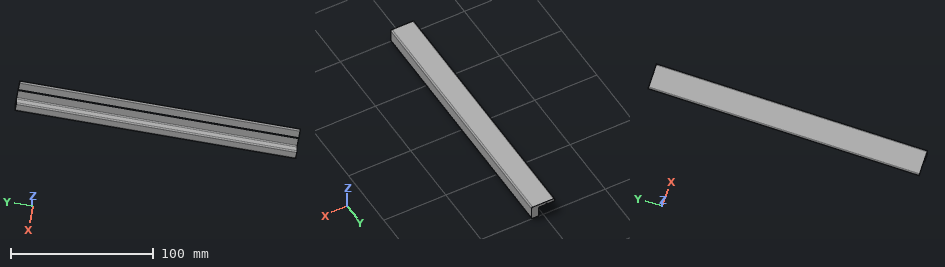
import cadquery as cq

length = 200.0
width = 18.8
height = 11.5
flange_thickness = 2.8
leg_thickness = 6.0
outer_radius = 1.0
inner_radius = 0.8

groove_center = 6.5
groove_width = 0.5
groove_depth = 0.5

leg_left = width - leg_thickness
flange_bottom = height - flange_thickness


def make_bar():
    """L-section extruded along Y, with all long edges rounded."""
    bar = (
        cq.Workplane("XZ")
        .moveTo(0, height)
        .lineTo(width, height)
        .lineTo(width, 0)
        .lineTo(leg_left, 0)
        .lineTo(leg_left, flange_bottom)
        .lineTo(0, flange_bottom)
        .close()
        .extrude(length / 2, both=True)
    )
    inner_corner = cq.selectors.NearestToPointSelector((leg_left, 0, flange_bottom))
    bar = bar.edges(inner_corner).fillet(inner_radius)
    outer_edges = bar.edges("|Y").edges("<X or >X or <Z")
    return outer_edges.fillet(outer_radius)


def make_groove():
    """Full-length cutter for the groove under the flange."""
    return (
        cq.Workplane("XY")
        .box(groove_width, length, 2 * groove_depth)
        .translate((groove_center, 0, flange_bottom))
    )


result = make_bar().cut(make_groove())